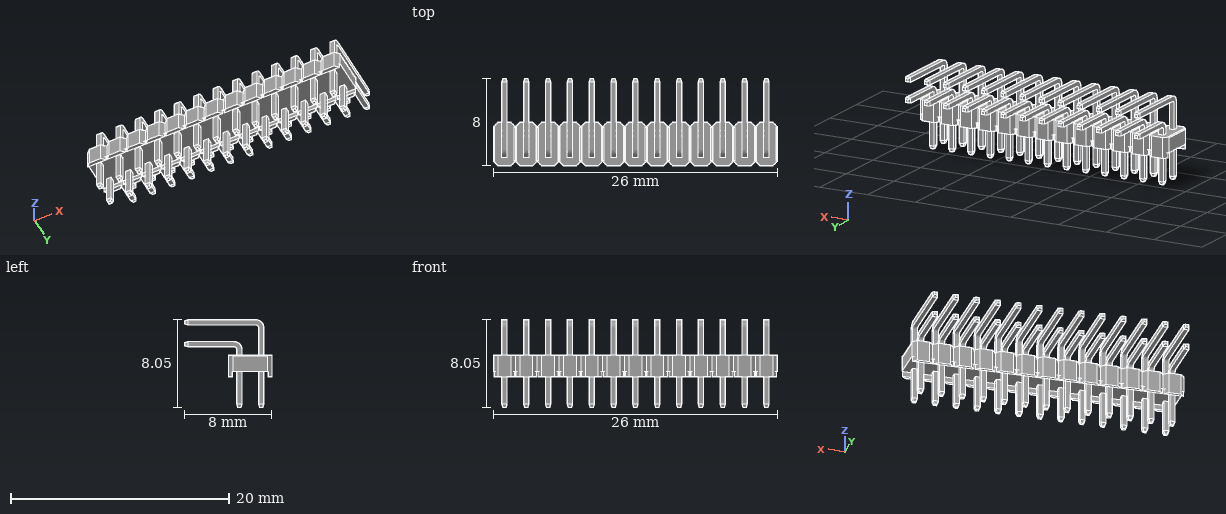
import cadquery as cq
import math


overall_length = 26
pin_count = 13
pitch = overall_length / pin_count
row_spacing = pitch

housing_width = 2 * pitch
housing_height = pitch
cell_chamfer = 0.42
channel_width = 3.28
channel_depth = 0.5
bevel_length = 3.0
bevel_inset = 0.1
bevel_drop = 0.08

pin_size = 0.5
bend_radius = 0.5
pin_below_housing = 2.8
overall_depth = 8.0
overall_height = 8.05
tip_length = 0.3
tip_inset = 0.1

tip_y = overall_depth - housing_width / 2
front_row_axis_z = overall_height - pin_below_housing - pin_size / 2
back_row_axis_z = front_row_axis_z - row_spacing


def cell_position(index):
    """X coordinate of the centre of one cell."""
    return (index - (pin_count - 1) / 2) * pitch


def housing_cell():
    """Octagonal block with bevelled top edges along its two X sides."""
    cell = (
        cq.Workplane("XY")
        .rect(pitch, housing_width)
        .extrude(housing_height)
        .edges("|Z")
        .chamfer(cell_chamfer)
    )
    for side in (-1, 1):
        edge_x = side * pitch / 2
        bevel = (
            cq.Workplane("XZ", origin=(0, bevel_length / 2, 0))
            .moveTo(edge_x, housing_height)
            .lineTo(edge_x - side * bevel_inset, housing_height)
            .lineTo(edge_x, housing_height - bevel_drop)
            .close()
            .extrude(bevel_length)
        )
        cell = cell.cut(bevel)
    return cell


def housing():
    """Row of cells with one channel along the whole underside."""
    cell = housing_cell()
    strip = cell.translate((cell_position(0), 0, 0))
    for index in range(1, pin_count):
        strip = strip.union(cell.translate((cell_position(index), 0, 0)))
    channel = cq.Workplane("XY").box(
        overall_length, channel_width, channel_depth, centered=(True, True, False)
    )
    return strip.cut(channel)


def tapered_tip(base_plane):
    """Pyramid-shaped pin end that narrows along the normal of the base plane."""
    taper_angle = math.degrees(math.atan(tip_inset / tip_length))
    return (
        cq.Workplane(base_plane)
        .rect(pin_size, pin_size)
        .extrude(tip_length, taper=taper_angle)
    )


def bent_pin(row_y, axis_z):
    """Square pin that rises at row_y, then bends to run along +Y at axis_z."""
    shank_bottom = tip_length - pin_below_housing
    shank_end_y = tip_y - tip_length
    diagonal_offset = bend_radius * (1 - math.sqrt(0.5))
    path = (
        cq.Workplane("YZ")
        .moveTo(row_y, shank_bottom)
        .lineTo(row_y, axis_z - bend_radius)
        .threePointArc(
            (row_y + diagonal_offset, axis_z - diagonal_offset),
            (row_y + bend_radius, axis_z),
        )
        .lineTo(shank_end_y, axis_z)
    )
    shank = (
        cq.Workplane("XY", origin=(0, row_y, shank_bottom))
        .rect(pin_size, pin_size)
        .sweep(path)
    )
    lower_tip = tapered_tip(cq.Plane((0, row_y, shank_bottom), (1, 0, 0), (0, 0, -1)))
    outer_tip = tapered_tip(cq.Plane((0, shank_end_y, axis_z), (1, 0, 0), (0, 1, 0)))
    return shank.union(lower_tip).union(outer_tip)


result = housing()
pin_pair = [
    bent_pin(-row_spacing / 2, front_row_axis_z),
    bent_pin(row_spacing / 2, back_row_axis_z),
]
for index in range(pin_count):
    for pin in pin_pair:
        result = result.union(pin.translate((cell_position(index), 0, 0)))